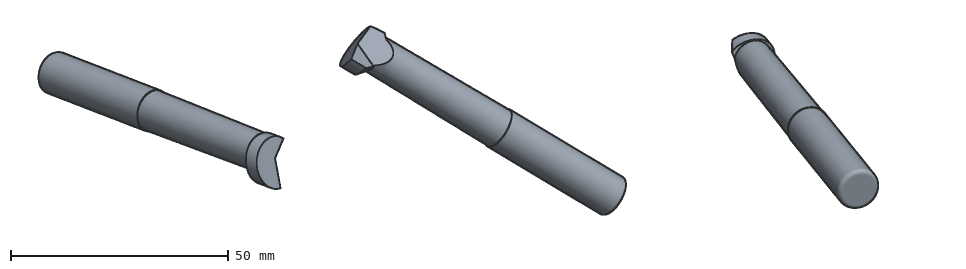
import cadquery as cq
import math

length = 77.0
shank_radius = 5.0
shank_length = 33.9
shank_end_round = 1.0
neck_start_radius = 4.85
neck_end_radius = 4.55
neck_end_x = 70.2

head_diameter = 11.8
head_radius = head_diameter / 2
head_bottom_z = -7.0
head_center_z = head_bottom_z + head_radius
front_slant = math.tan(math.radians(15))
cone_length = 9.25

floor_corner_z = -0.1
floor_corner_x = length - front_slant * (floor_corner_z - head_bottom_z)
floor_side_slope = 1.3
floor_run_slope = 1.0
gullet_start_x = 65.45
gullet_end_x = length + 0.8
gullet_width = 15.4
gullet_bottom_z = -23.1


def make_body():
    """Shank with a rounded end, followed by the tapered neck."""
    shank = cq.Workplane("YZ").circle(shank_radius).extrude(shank_length)
    shank = shank.faces("<X").edges().fillet(shank_end_round)
    neck = cq.Workplane("XZ").polyline([
        (shank_length, 0),
        (shank_length, neck_start_radius),
        (neck_end_x, neck_end_radius),
        (neck_end_x, 0),
    ]).close().revolve(360, (0, 0, 0), (1, 0, 0))
    return shank.union(neck)


def make_head():
    """Offset cylinder cut off by the slanted front and the cone behind it."""
    head_top_z = head_bottom_z + head_diameter
    front_top_x = length - front_slant * (head_top_z - head_bottom_z)
    side_profile = (
        cq.Workplane("XZ").polyline([
            (neck_end_x, head_bottom_z),
            (length, head_bottom_z),
            (front_top_x, head_top_z),
            (neck_end_x, head_top_z),
        ]).close().extrude(head_radius, both=True)
    )
    round_bar = (
        cq.Workplane("YZ", origin=(neck_end_x, 0, head_center_z))
        .circle(head_radius).extrude(length - neck_end_x)
    )
    cone = cq.Workplane("XZ").polyline([
        (neck_end_x, 0),
        (neck_end_x, neck_end_radius),
        (neck_end_x + cone_length, neck_end_radius + cone_length),
        (neck_end_x + cone_length, 0),
    ]).close().revolve(360, (0, 0, 0), (1, 0, 0))
    return round_bar.intersect(side_profile).intersect(cone)


def gullet_section(x):
    """Closed outline of the gullet across the X axis."""
    corner_z = floor_corner_z - floor_run_slope * (floor_corner_x - x)
    return cq.Wire.makePolygon([
        cq.Vector(x, 0, gullet_bottom_z),
        cq.Vector(x, 0, corner_z),
        cq.Vector(x, gullet_width, corner_z + floor_side_slope * gullet_width),
        cq.Vector(x, gullet_width, gullet_bottom_z),
    ], close=True)


def make_gullet():
    """Wedge below the sloping floor on the +Y side."""
    sections = [gullet_section(gullet_start_x), gullet_section(gullet_end_x)]
    return cq.Workplane(cq.Solid.makeLoft(sections, True))


result = make_body().union(make_head()).cut(make_gullet())